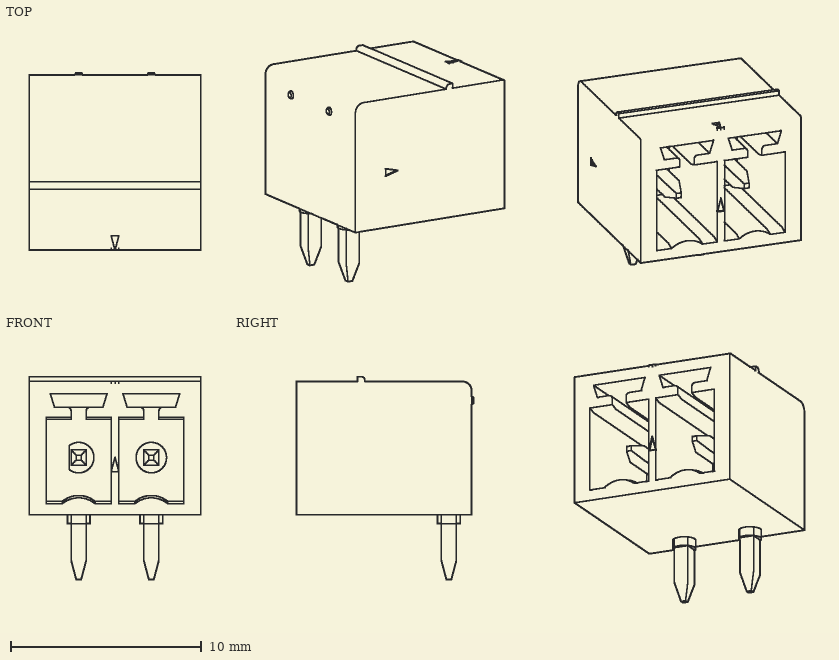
import cadquery as cq
import math

pole_pitch = 3.81
pole_positions = (-pole_pitch / 2, pole_pitch / 2)

housing_width = 9.01
housing_depth = 9.2
housing_height = 7.0
back_top_radius = 0.5
front_top_radius = 0.1

ridge_front = 3.2
ridge_width = 0.4
ridge_height = 0.25
ridge_radius = 0.2

pocket_width = 3.4
pocket_floor = 0.7
pocket_ceiling = 5.0
pocket_depth = 7.0
mouth_flare = 0.12
mouth_depth = 0.45
hump_radius = 1.37
hump_height = 0.31
hump_half_width = math.sqrt(hump_radius**2 - (hump_radius - hump_height) ** 2)

dovetail_floor = 5.65
dovetail_ceiling = 6.35
dovetail_floor_width = 2.54
dovetail_ceiling_width = 2.98
dovetail_depth = 6.0
neck_width = 0.8
neck_radius = 0.2

marker_base = 0.4
marker_length = 0.75
marker_recess = 0.1
front_marker_bottom = 2.27
side_marker_tip = 6.58

pin_size = 0.8
pin_axis_height = 3.0
pin_tip_size = 0.27
pin_taper_length = 1.0
pin_front = 1.2
pin_leg_y = housing_depth - 1.2
pin_bottom = -3.4

plug_radius = 0.8
plug_length = 0.5
plug_flat_distance = 0.5

collar_radius = 0.6
collar_height = 0.47

stud_height = 0.1
stud_axis_z = (dovetail_floor + dovetail_ceiling) / 2
stud_base_radius = 0.21
stud_tip_radius = 0.15


def make_block():
    """Housing block with a rounded back edge and a mostly rounded front edge."""
    block = (
        cq.Workplane("XY")
        .box(housing_width, housing_depth, housing_height, centered=(True, False, False))
    )
    block = block.edges(">Y and >Z").fillet(back_top_radius)
    block = block.edges("<Y and >Z").fillet(front_top_radius)
    sharp_corner = (
        cq.Workplane("XY", origin=(0, 0, housing_height - front_top_radius))
        .box(marker_base, front_top_radius, front_top_radius, centered=(True, False, False))
    )
    return block.union(sharp_corner)


def make_ridge():
    """Ridge across the full width, rounded on its back edge."""
    ridge = (
        cq.Workplane("XY", origin=(0, ridge_front, housing_height))
        .box(housing_width, ridge_width, ridge_height, centered=(True, False, False))
    )
    return ridge.edges(">Y and >Z").fillet(ridge_radius)


def pocket_outline(x, y, flare):
    """Pocket section at depth y: floor lowered and ceiling raised by flare."""
    left = x - pocket_width / 2
    right = x + pocket_width / 2
    floor = pocket_floor - flare
    ceiling = pocket_ceiling + flare
    return (
        cq.Workplane("XZ", origin=(0, y, 0))
        .moveTo(left, floor)
        .lineTo(x - hump_half_width, floor)
        .threePointArc((x, floor + hump_height), (x + hump_half_width, floor))
        .lineTo(right, floor)
        .lineTo(right, ceiling)
        .lineTo(left, ceiling)
        .close()
    )


def make_pocket(x):
    """Straight pocket plus the flared mouth at the mating face."""
    straight = pocket_outline(x, 0, 0).extrude(-pocket_depth)
    front_wire = pocket_outline(x, 0, mouth_flare).val()
    inner_wire = pocket_outline(x, mouth_depth, 0).val()
    mouth = cq.Workplane(cq.Solid.makeLoft([front_wire, inner_wire], True))
    return straight.union(mouth)


def make_dovetail(x):
    """Dovetail slot, widest at its ceiling and shallower than the pocket."""
    half_floor = dovetail_floor_width / 2
    half_ceiling = dovetail_ceiling_width / 2
    return (
        cq.Workplane("XZ")
        .polyline([
            (x - half_floor, dovetail_floor),
            (x - half_ceiling, dovetail_ceiling),
            (x + half_ceiling, dovetail_ceiling),
            (x + half_floor, dovetail_floor),
        ])
        .close()
        .extrude(-dovetail_depth)
    )


def make_neck(x):
    """Neck from the pocket up to the dovetail, rounded outwards at its top."""
    half_neck = neck_width / 2
    half_top = half_neck + neck_radius
    round_start = dovetail_floor - neck_radius
    return (
        cq.Workplane("XZ")
        .moveTo(x - half_neck, pocket_ceiling)
        .lineTo(x - half_neck, round_start)
        .radiusArc((x - half_top, dovetail_floor), -neck_radius)
        .lineTo(x + half_top, dovetail_floor)
        .radiusArc((x + half_neck, round_start), -neck_radius)
        .lineTo(x + half_neck, pocket_ceiling)
        .close()
        .extrude(-pocket_depth)
    )


def make_marker(plane):
    """Triangle sunk below the plane, pointing along the plane's local X from its base."""
    return (
        cq.Workplane(plane)
        .polyline([(0, -marker_base / 2), (marker_length, 0), (0, marker_base / 2)])
        .close()
        .extrude(-marker_recess)
    )


def make_pin(x):
    """L-shaped square pin with a tapered tip at both ends."""
    half = pin_size / 2
    contact_start = pin_front + pin_taper_length
    leg_end = pin_bottom + pin_taper_length
    contact = (
        cq.Workplane("XZ", origin=(x, contact_start, pin_axis_height))
        .rect(pin_size, pin_size)
        .extrude(-(pin_leg_y + half - contact_start))
    )
    contact_tip = (
        cq.Workplane("XZ", origin=(x, contact_start, pin_axis_height))
        .rect(pin_size, pin_size)
        .workplane(offset=pin_taper_length)
        .rect(pin_tip_size, pin_tip_size)
        .loft()
    )
    leg = (
        cq.Workplane("XY", origin=(x, pin_leg_y, leg_end))
        .rect(pin_size, pin_size)
        .extrude(pin_axis_height + half - leg_end)
    )
    leg_tip = (
        cq.Workplane("XY", origin=(x, pin_leg_y, leg_end))
        .rect(pin_size, pin_size)
        .workplane(offset=-pin_taper_length)
        .rect(pin_tip_size, pin_tip_size)
        .loft()
    )
    return contact.union(leg).union(contact_tip).union(leg_tip)


def make_plug_blank(x):
    """Plug cylinder without its pin hole; the first pole's plug has a flat on its -X side."""
    blank = (
        cq.Workplane("XZ", origin=(x, pocket_depth, pin_axis_height))
        .circle(plug_radius)
        .extrude(-plug_length)
    )
    if x == pole_positions[0]:
        removed_center_x = x - plug_flat_distance - plug_radius / 2
        beyond_flat = (
            cq.Workplane("XY", origin=(removed_center_x, pocket_depth, pin_axis_height))
            .box(plug_radius, plug_length, 2 * plug_radius, centered=(True, False, True))
        )
        blank = blank.cut(beyond_flat)
    return blank


def make_collar(x):
    """Collar around the pin leg, resting against the underside of the housing."""
    collar = cq.Workplane("XY", origin=(x, pin_leg_y, 0)).circle(collar_radius).extrude(-collar_height)
    return collar.cut(make_pin(x))


def make_stud(x):
    """Tapered round stud on the back face, in line with the dovetail slot."""
    base_center = cq.Vector(x, housing_depth, stud_axis_z)
    rearward = cq.Vector(0, 1, 0)
    cone = cq.Solid.makeCone(stud_base_radius, stud_tip_radius, stud_height, base_center, rearward)
    return cq.Workplane(cone)


def make_housing():
    """Housing with its pockets, slots, markers and seats for the pins and plugs."""
    housing = make_block().union(make_ridge())
    for x in pole_positions:
        housing = housing.cut(make_pocket(x)).cut(make_neck(x)).cut(make_dovetail(x))
        housing = housing.cut(make_plug_blank(x)).cut(make_pin(x))
    marker_planes = (
        cq.Plane((0, 0, front_marker_bottom), xDir=(0, 0, 1), normal=(0, -1, 0)),
        cq.Plane((0, marker_length, housing_height), xDir=(0, -1, 0), normal=(0, 0, 1)),
        cq.Plane(
            (-housing_width / 2, side_marker_tip + marker_length, pin_axis_height),
            xDir=(0, -1, 0),
            normal=(-1, 0, 0),
        ),
    )
    for plane in marker_planes:
        housing = housing.cut(make_marker(plane))
    return housing


housing = make_housing()
pins = [make_pin(x) for x in pole_positions]
plugs = [make_plug_blank(x).cut(make_pin(x)) for x in pole_positions]
collars = [make_collar(x) for x in pole_positions]
studs = [make_stud(x) for x in pole_positions]

bodies = [housing, *pins, *plugs, *collars, *studs]
result = cq.Compound.makeCompound([body.val() for body in bodies])